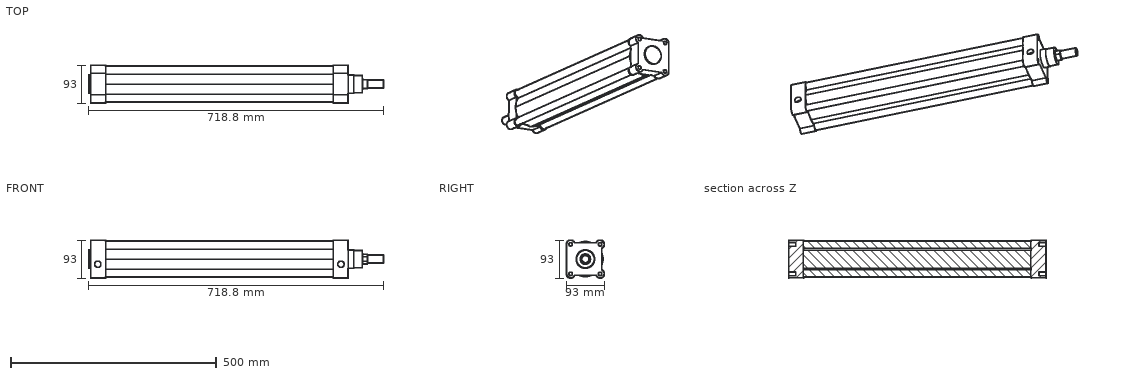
import cadquery as cq
import math

OVERALL_LENGTH = 718.8
CAPS_LENGTH = 628.0
REAR_BOSS_LENGTH = 4.0
CAP_LENGTH = 36.5
REAR_X = -OVERALL_LENGTH / 2
REAR_FACE_X = REAR_X + REAR_BOSS_LENGTH
FRONT_FACE_X = REAR_FACE_X + CAPS_LENGTH
BARREL_START_X = REAR_FACE_X + CAP_LENGTH
BARREL_END_X = FRONT_FACE_X - CAP_LENGTH
ROD_END_X = REAR_X + OVERALL_LENGTH

CAP_WIDTH = 93.0
SCREW_SPACING = 72.0
SCREW_OFFSET = SCREW_SPACING / 2
CAP_CORNER_RADIUS = CAP_WIDTH / 2 - SCREW_OFFSET
CAP_FLAT = 40.0
SCREW_HOLE_DIAMETER = 8.5
SCREW_HOLE_DEPTH = 17.0
PORT_DIAMETER = 15.5
PORT_DEPTH = 12.0
PORT_Z = -12.5
PORT_FROM_FACE = 17.5

BOSS_DIAMETER = 45.0
BOSS_LENGTH = 14.0
NOSE_DIAMETER = 43.0
NOSE_END = 34.5

BARREL_RADIUS = 42.5
RIDGE_HALF_WIDTH = 9.5
RIDGE_BASE = math.sqrt(BARREL_RADIUS ** 2 - RIDGE_HALF_WIDTH ** 2)
RIDGE_PEAK = BARREL_RADIUS ** 2 / RIDGE_BASE
RIB_RADIUS = 7.4
RIB_OFFSET = 36.9

ROD_DIAMETER = 25.0
ROD_PROJECTION = 1.2
WRENCH_DIAMETER = 24.5
WRENCH_FLATS = 22.0
THREAD_DIAMETER = 20.0
THREAD_LENGTH = 40.0
THREAD_CHAMFER = 1.2
SHOULDER_X = ROD_END_X - THREAD_LENGTH

CORNERS = [(y, z) for y in (-SCREW_OFFSET, SCREW_OFFSET) for z in (-SCREW_OFFSET, SCREW_OFFSET)]


def section_at(x):
    """Workplane across the axis at x; its local axes are Y and Z."""
    return cq.Workplane("YZ", origin=(x, 0, 0))


def cylinder(x, length, diameter):
    return section_at(x).circle(diameter / 2).extrude(length)


def cap_block(start_x, outer_face_x, inward):
    """Cap with four round corners, flush -Y face, screw holes in the outer face and a port."""
    half = CAP_WIDTH / 2
    body = (
        section_at(start_x)
        .center((CAP_FLAT - SCREW_OFFSET) / 2, 0)
        .rect(CAP_FLAT + SCREW_OFFSET, 2 * CAP_FLAT)
        .extrude(CAP_LENGTH)
    )
    flush_side = (
        section_at(start_x)
        .center(-(half + SCREW_OFFSET) / 2, 0)
        .rect(half - SCREW_OFFSET, SCREW_SPACING)
        .extrude(CAP_LENGTH)
    )
    corners = section_at(start_x).pushPoints(CORNERS).circle(CAP_CORNER_RADIUS).extrude(CAP_LENGTH)
    screw_holes = (
        section_at(outer_face_x)
        .pushPoints(CORNERS)
        .circle(SCREW_HOLE_DIAMETER / 2)
        .extrude(inward * SCREW_HOLE_DEPTH)
    )
    port = (
        cq.Workplane("XZ", origin=(outer_face_x + inward * PORT_FROM_FACE, -half, PORT_Z))
        .circle(PORT_DIAMETER / 2)
        .extrude(-PORT_DEPTH)
    )
    return body.union(flush_side).union(corners).cut(screw_holes).cut(port)


def make_rear_cap():
    boss = cylinder(REAR_X, REAR_BOSS_LENGTH, BOSS_DIAMETER)
    return cap_block(REAR_FACE_X, REAR_FACE_X, 1).union(boss)


def make_front_cap():
    boss = cylinder(FRONT_FACE_X, BOSS_LENGTH, BOSS_DIAMETER)
    nose = cylinder(FRONT_FACE_X, NOSE_END, NOSE_DIAMETER)
    rod_bore = cylinder(BARREL_END_X, CAP_LENGTH + NOSE_END, ROD_DIAMETER)
    return cap_block(BARREL_END_X, FRONT_FACE_X, -1).union(boss).union(nose).cut(rod_bore)


def make_barrel():
    """Round barrel with a low ridge on each side and a rounded diagonal rib at each corner."""
    length = BARREL_END_X - BARREL_START_X
    barrel = cylinder(BARREL_START_X, length, 2 * BARREL_RADIUS)
    ridge = (
        section_at(BARREL_START_X)
        .polyline([(0, 0), (RIDGE_BASE, -RIDGE_HALF_WIDTH), (RIDGE_PEAK, 0), (RIDGE_BASE, RIDGE_HALF_WIDTH)])
        .close()
        .extrude(length)
    )
    rib_reach = RIB_OFFSET * math.sqrt(2)
    rib = (
        section_at(BARREL_START_X)
        .moveTo(0, -RIB_RADIUS)
        .lineTo(rib_reach, -RIB_RADIUS)
        .threePointArc((rib_reach + RIB_RADIUS, 0), (rib_reach, RIB_RADIUS))
        .lineTo(0, RIB_RADIUS)
        .close()
        .extrude(length)
        .rotate((0, 0, 0), (1, 0, 0), 45)
    )
    for angle in range(0, 360, 90):
        for feature in (ridge, rib):
            barrel = barrel.union(feature.rotate((0, 0, 0), (1, 0, 0), angle))
    return barrel


def make_rod():
    """Rod running through the front cap, with two wrench flats on Y and a thread chamfered at both ends."""
    wrench_x = FRONT_FACE_X + NOSE_END + ROD_PROJECTION
    wrench_length = SHOULDER_X - wrench_x
    shank = cylinder(BARREL_END_X, wrench_x - BARREL_END_X, ROD_DIAMETER)
    flats = section_at(wrench_x).rect(WRENCH_FLATS, WRENCH_DIAMETER).extrude(wrench_length)
    wrench_section = cylinder(wrench_x, wrench_length, WRENCH_DIAMETER).intersect(flats)
    thread = cylinder(SHOULDER_X, THREAD_LENGTH, THREAD_DIAMETER).edges("%CIRCLE").chamfer(THREAD_CHAMFER)
    return shank.union(wrench_section).union(thread)


rear_cap = make_rear_cap()
barrel = make_barrel()
front_cap = make_front_cap()
rod = make_rod()

result = cq.Compound.makeCompound([rear_cap.val(), barrel.val(), front_cap.val(), rod.val()])